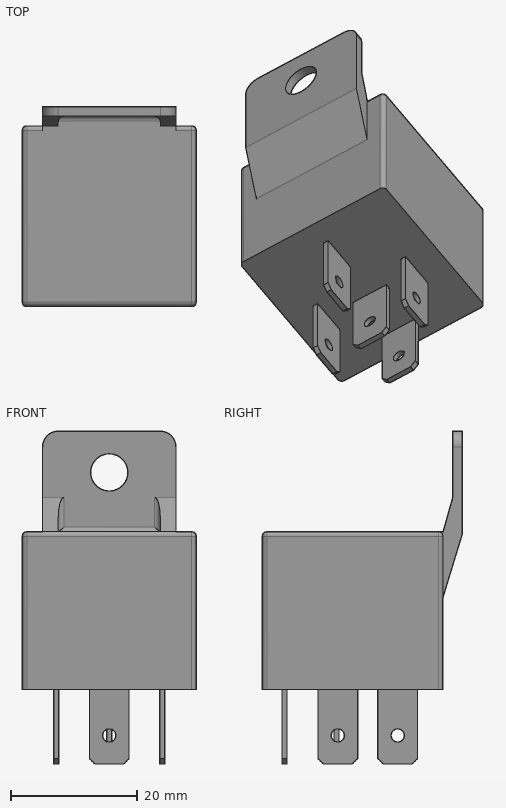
import cadquery as cq

body_width = 27.65
body_depth = 28.7
body_height = 25.05
body_fillet = 0.75

tab_width = 21.2
tab_offset = 3.05
tab_thickness = 1.55
tab_rise = 15.95
tab_corner_radius = 2.5
tab_hole_diameter = 5.85
tab_hole_drop = 6.55
tab_root_depth = 1.6
ramp_rise = 5.45
back_slope_bottom = 14.6
back_slope_top = 24.65
window_width = 16.25
window_side_fillet = 0.95
window_foot_fillet = 0.75

blade_width = 6.35
blade_thickness = 0.85
blade_length = 11.85
blade_chamfer = 0.9
blade_hole_diameter = 2.05
blade_hole_height = 4.55
side_blade_offset = 8.4
front_blade_y = 3.55
middle_blade_y = 11.8
side_blade_y = 12.0
rear_blade_y = 21.5

tab_back_y = body_depth + tab_offset
tab_front_y = tab_back_y - tab_thickness
tab_top_z = body_height + tab_rise


def make_body():
    block = cq.Workplane("XY").box(body_width, body_depth, body_height, centered=(True, False, False))
    return block.edges("|Z or >Z").fillet(body_fillet)


def make_tab():
    root_y = body_depth - tab_root_depth
    profile = [
        (root_y, back_slope_bottom),
        (body_depth, back_slope_bottom),
        (tab_back_y, back_slope_top),
        (tab_back_y, tab_top_z),
        (tab_front_y, tab_top_z),
        (tab_front_y, body_height + ramp_rise),
        (body_depth, body_height),
        (root_y, body_height),
    ]
    tab = cq.Workplane("YZ").polyline(profile).close().extrude(tab_width / 2, both=True)
    tab = tab.edges("|Y and >Z").fillet(tab_corner_radius)

    window_size = (window_width, tab_offset, 2 * ramp_rise)
    window_block = (
        cq.Workplane("XY", origin=(0, tab_front_y - tab_offset, body_height))
        .box(*window_size, centered=(True, False, False))
    )
    round_sided = window_block.edges("|Z and >Y").fillet(window_side_fillet)
    round_footed = window_block.edges("<Z and >Y").fillet(window_foot_fillet)
    window = round_sided.intersect(round_footed)

    hole = (
        cq.Workplane("XZ", origin=(0, tab_back_y, tab_top_z - tab_hole_drop))
        .circle(tab_hole_diameter / 2)
        .extrude(tab_thickness)
    )
    return tab.cut(window).cut(hole)


def make_blade(x, y, turned):
    """Chamfered blade hanging from the underside; a turned blade spans Y instead of X."""
    blade = (
        cq.Workplane("XY")
        .box(blade_width, blade_thickness, blade_length, centered=(True, True, False))
        .edges("|Y and <Z").chamfer(blade_chamfer)
    )
    hole = (
        cq.Workplane("XZ", origin=(0, 0, blade_hole_height))
        .circle(blade_hole_diameter / 2)
        .extrude(blade_thickness, both=True)
    )
    blade = blade.cut(hole)
    if turned:
        blade = blade.rotate((0, 0, 0), (0, 0, 1), 90)
    return blade.translate((x, y, -blade_length))


blade_places = [
    (0, front_blade_y, False),
    (0, middle_blade_y, False),
    (-side_blade_offset, side_blade_y, True),
    (side_blade_offset, side_blade_y, True),
    (0, rear_blade_y, True),
]

result = make_body().union(make_tab())
for x, y, turned in blade_places:
    result = result.union(make_blade(x, y, turned))